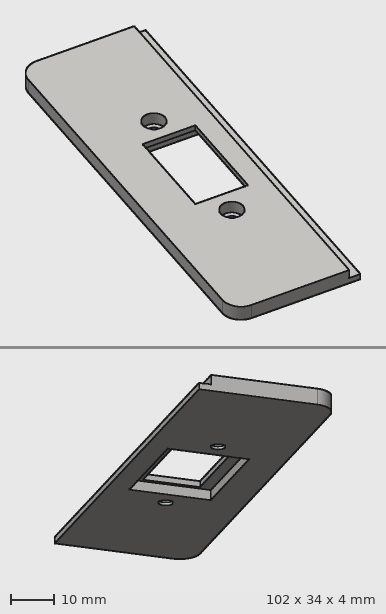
import cadquery as cq

length = 102.0
width = 34.0
thickness = 4.0
corner_radius = 5.0

lip_depth = 3.0
lip_thickness = 1.6

window_length = 25.0
window_width = 14.0
window_center_y = 18.65

rim_thickness = 1.5
relief_side_margin = 1.0
relief_front_rear_margin = 3.0

hole_spacing = 37.0
hole_center_y = 18.0
hole_diameter = 3.4
counterbore_diameter = 5.9
counterbore_depth = 3.25


def make_plate():
    """Flat plate with the two front corners rounded."""
    plate = cq.Workplane("XY").box(length, width, thickness, centered=(True, False, False))
    return plate.edges("|Z and <Y").fillet(corner_radius)


def cut_rear_step(plate):
    """Remove the upper part of the rear edge over the full length."""
    step = (
        cq.Workplane("XY", origin=(0, width - lip_depth, lip_thickness))
        .box(length, lip_depth, thickness - lip_thickness, centered=(True, False, False))
    )
    return plate.cut(step)


def cut_window(plate):
    """Cut the rectangular window through the full thickness."""
    window = (
        cq.Workplane("XY", origin=(0, window_center_y, 0))
        .rect(window_length, window_width)
        .extrude(thickness)
    )
    return plate.cut(window)


def cut_relief_pocket(plate):
    """Cut the pocket that widens the window below its rim, open to the underside."""
    pocket_length = window_length + 2 * relief_side_margin
    pocket_width = window_width + 2 * relief_front_rear_margin
    pocket = (
        cq.Workplane("XY", origin=(0, window_center_y, 0))
        .rect(pocket_length, pocket_width)
        .extrude(thickness - rim_thickness)
    )
    return plate.cut(pocket)


def cut_screw_holes(plate):
    """Drill the two screw holes, counterbored from the top face."""
    hole_centers = [(-hole_spacing / 2, hole_center_y), (hole_spacing / 2, hole_center_y)]
    return (
        plate.copyWorkplane(cq.Workplane("XY", origin=(0, 0, thickness)))
        .pushPoints(hole_centers)
        .cboreHole(hole_diameter, counterbore_diameter, counterbore_depth)
    )


result = make_plate()
result = cut_rear_step(result)
result = cut_window(result)
result = cut_relief_pocket(result)
result = cut_screw_holes(result)